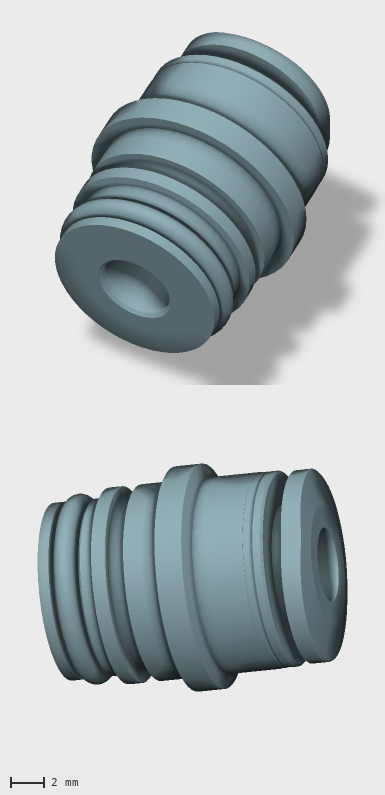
import cadquery as cq
import math

length = 16.7

bore_dia = 4.5
nose_dia = 10.8
seal_groove_dia = 8.6
seal_dia = 11.59
clip_groove_dia = 10.2
body_dia = 11.95
flange_dia = 13.7
collar_dia = 11.9
neck_dia = 7.82
head_face_dia = 7.25

seal_groove_start = 0.68
seal_groove_end = 2.54
rib_start = 3.42
rib_end = 4.43
clip_groove_end = 5.56
flange_start = 7.8
flange_rim_end = 9.49
flange_end = 9.9
collar_start = 13.1
notch_center = 13.6
collar_end = 14.31
head_start = 15.2

bore_chamfer = 0.2
nose_chamfer = 0.13
seal_groove_fillet = 0.28
rib_taper = 0.12
rib_edge = 0.05
clip_groove_fillet = 0.28
notch_depth = 0.12
collar_chamfer = 0.15
neck_fillet = 0.38

seal_thickness = 1.27

head_width = 9.85
head_end_offset = 1.0
head_dome_drop = 0.4
head_chamfer = 0.15


def revolve(profile):
    return profile.close().revolve(360, (0, 0, 0), (0, 1, 0))


def concave_corner(profile, radius, station, fillet, wall_side):
    """Arc between a groove floor and its wall.

    wall_side is +1 when the arc climbs to a wall at larger y, -1 when it leaves a wall at smaller y.
    """
    diagonal = fillet * (1 - math.sqrt(0.5))
    middle = (radius + diagonal, station - wall_side * diagonal)
    floor = (radius, station - wall_side * fillet)
    wall = (radius + fillet, station)
    return profile.threePointArc(middle, wall if wall_side > 0 else floor)


def groove(profile, radius, start, end, fillet):
    """Round-cornered groove traced from the start wall to the end wall."""
    profile = profile.lineTo(radius + fillet, start)
    profile = concave_corner(profile, radius, start, fillet, -1)
    profile = profile.lineTo(radius, end - fillet)
    return concave_corner(profile, radius, end, fillet, 1)


def make_body():
    nose_r = nose_dia / 2
    body_r = body_dia / 2
    collar_r = collar_dia / 2
    neck_r = neck_dia / 2

    profile = cq.Workplane("XY").moveTo(0, 0).lineTo(nose_r, 0).lineTo(nose_r, seal_groove_start)
    profile = groove(profile, seal_groove_dia / 2, seal_groove_start, seal_groove_end, seal_groove_fillet)
    profile = (
        profile.lineTo(nose_r - nose_chamfer, seal_groove_end)
        .lineTo(nose_r, seal_groove_end + nose_chamfer)
        .lineTo(nose_r, rib_start)
        .lineTo(body_r, rib_start + rib_taper)
        .lineTo(body_r, rib_end - rib_edge)
        .lineTo(body_r - rib_edge, rib_end)
    )
    profile = groove(profile, clip_groove_dia / 2, rib_end, clip_groove_end, clip_groove_fillet)
    profile = (
        profile.lineTo(body_r, clip_groove_end)
        .lineTo(body_r, flange_start)
        .lineTo(flange_dia / 2, flange_start)
        .lineTo(flange_dia / 2, flange_rim_end)
        .lineTo(body_r, flange_end)
        .lineTo(body_r, collar_start)
        .lineTo(collar_r, collar_start)
        .lineTo(collar_r, notch_center - notch_depth)
        .lineTo(collar_r - notch_depth, notch_center)
        .lineTo(collar_r, notch_center + notch_depth)
        .lineTo(collar_r, collar_end - collar_chamfer)
        .lineTo(collar_r - collar_chamfer, collar_end)
        .lineTo(neck_r, collar_end)
        .lineTo(neck_r, head_start - neck_fillet)
    )
    profile = concave_corner(profile, neck_r, head_start, neck_fillet, 1)
    return revolve(profile.lineTo(0, head_start))


def make_seal_ring():
    """Ring with a round outer edge, seated on the floor of the seal groove."""
    half = seal_thickness / 2
    center = (seal_groove_start + seal_groove_end) / 2
    outer_r = seal_dia / 2
    inner_r = bore_dia / 2
    profile = (
        cq.Workplane("XY")
        .moveTo(inner_r, center - half)
        .lineTo(outer_r - half, center - half)
        .threePointArc((outer_r, center), (outer_r - half, center + half))
        .lineTo(inner_r, center + half)
    )
    return revolve(profile)


def make_head():
    """Obround push head whose end face slopes down in a shallow cone."""
    head_height = head_width + 2 * head_end_offset
    head_r = head_height / 2
    dome_edge = length - head_dome_drop
    obround = (
        cq.Workplane("XZ", origin=(0, head_start, 0))
        .slot2D(head_height, head_width, 90)
        .extrude(head_start - length)
    )
    envelope = revolve(
        cq.Workplane("XY")
        .moveTo(0, head_start)
        .lineTo(head_r, head_start)
        .lineTo(head_r, dome_edge - head_chamfer)
        .lineTo(head_r - head_chamfer, dome_edge)
        .lineTo(head_face_dia / 2, length)
        .lineTo(0, length)
    )
    return obround.intersect(envelope)


def make_bore():
    """Through bore, chamfered at the nose."""
    bore_r = bore_dia / 2
    return revolve(
        cq.Workplane("XY")
        .moveTo(0, 0)
        .lineTo(bore_r + bore_chamfer, 0)
        .lineTo(bore_r, bore_chamfer)
        .lineTo(bore_r, length)
        .lineTo(0, length)
    )


result = make_body().union(make_seal_ring()).union(make_head()).cut(make_bore())